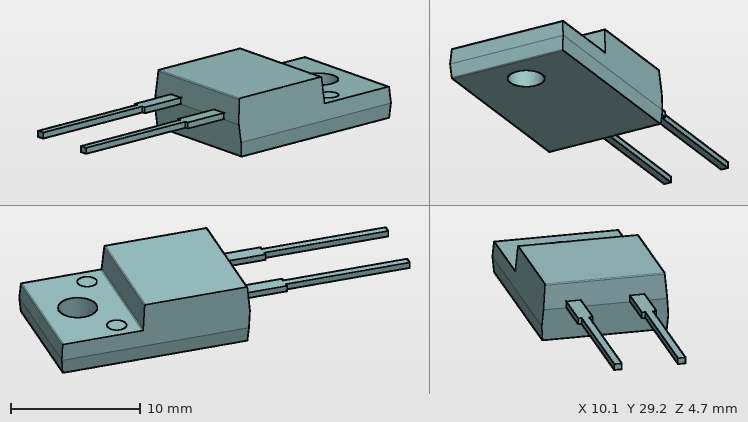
import cadquery as cq
import math

TOTAL_LENGTH = 29.25
HOUSING_WIDTH = 10.12
HOUSING_LENGTH = 15.45
HOUSING_HEIGHT = 4.7
TAB_HEIGHT = 2.55
SIDE_PARTING_Z = 1.23
STEP_Y = 8.57
SIDE_SLOPE = math.tan(math.radians(4.6))
EDGE_ROUND = 0.1

HOLE_Y = 12.4
HOLE_TOP_RADIUS = 1.52
HOLE_BOTTOM_RADIUS = 1.43

DISC_RADIUS = 0.75
DISC_THICKNESS = 0.3
DISC_PITCH = 7.02
DISC_Y = 10.42

LEAD_PITCH = 5.1
LEAD_BOTTOM_Z = 2.65
LEAD_THICKNESS = 0.5
LEAD_WIDE = 1.17
LEAD_NARROW = 0.6
LEAD_SHOULDER = 3.65
LEAD_EMBED = 0.88
LEAD_LENGTH = TOTAL_LENGTH - HOUSING_LENGTH


def draft(rise):
    """Inward shift of a sloped face over a given rise."""
    return rise * SIDE_SLOPE


def side_profile():
    """Stepped length-by-height outline, with the lead-end parting line at Y = 0."""
    tab_rise = TAB_HEIGHT - SIDE_PARTING_Z
    return [
        (draft(LEAD_BOTTOM_Z), 0),
        (HOUSING_LENGTH - draft(SIDE_PARTING_Z), 0),
        (HOUSING_LENGTH, SIDE_PARTING_Z),
        (HOUSING_LENGTH - draft(tab_rise), TAB_HEIGHT),
        (STEP_Y + draft(HOUSING_HEIGHT - TAB_HEIGHT), TAB_HEIGHT),
        (STEP_Y, HOUSING_HEIGHT),
        (draft(HOUSING_HEIGHT - LEAD_BOTTOM_Z), HOUSING_HEIGHT),
        (0, LEAD_BOTTOM_Z),
    ]


def end_profile():
    """Width-by-height outline, sloping inward above and below the parting line."""
    half = HOUSING_WIDTH / 2
    half_bottom = half - draft(SIDE_PARTING_Z)
    half_top = half - draft(HOUSING_HEIGHT - SIDE_PARTING_Z)
    return [
        (-half_bottom, 0),
        (half_bottom, 0),
        (half, SIDE_PARTING_Z),
        (half_top, HOUSING_HEIGHT),
        (-half_top, HOUSING_HEIGHT),
        (-half, SIDE_PARTING_Z),
    ]


def make_housing_block():
    block = cq.Workplane("YZ").polyline(side_profile()).close().extrude(HOUSING_WIDTH / 2, both=True)
    block = block.faces("|Z").edges("|X").fillet(EDGE_ROUND)
    sides = cq.Workplane("XZ").polyline(end_profile()).close().extrude(-HOUSING_LENGTH)
    return block.intersect(sides)


def make_hole():
    """Through hole that narrows from the tab top down to the underside."""
    outline = [
        (0, 0),
        (HOLE_BOTTOM_RADIUS, 0),
        (HOLE_TOP_RADIUS, TAB_HEIGHT),
        (0, TAB_HEIGHT),
    ]
    hole = cq.Workplane("XZ").polyline(outline).close().revolve(360, (0, 0), (0, 1))
    return hole.translate((0, HOLE_Y, 0))


def make_disc(x):
    disc = cq.Workplane("XY").circle(DISC_RADIUS).extrude(DISC_THICKNESS)
    return disc.translate((x, DISC_Y, TAB_HEIGHT - DISC_THICKNESS))


def make_lead(x):
    """Flat lead that narrows at its shoulder; its wide end is buried in the housing."""
    wide = LEAD_WIDE / 2
    narrow = LEAD_NARROW / 2
    outline = [
        (-narrow, -LEAD_LENGTH),
        (narrow, -LEAD_LENGTH),
        (narrow, -LEAD_SHOULDER),
        (wide, -LEAD_SHOULDER),
        (wide, LEAD_EMBED),
        (-wide, LEAD_EMBED),
        (-wide, -LEAD_SHOULDER),
        (-narrow, -LEAD_SHOULDER),
    ]
    lead = cq.Workplane("XY").polyline(outline).close().extrude(LEAD_THICKNESS)
    return lead.translate((x, 0, LEAD_BOTTOM_Z))


discs = [make_disc(side * DISC_PITCH / 2) for side in (-1, 1)]
leads = [make_lead(side * LEAD_PITCH / 2) for side in (-1, 1)]

housing = make_housing_block().cut(make_hole())
for insert in discs + leads:
    housing = housing.cut(insert)

inserts = [insert.val() for insert in discs + leads]
result = cq.Compound.makeCompound([housing.val(), *inserts])